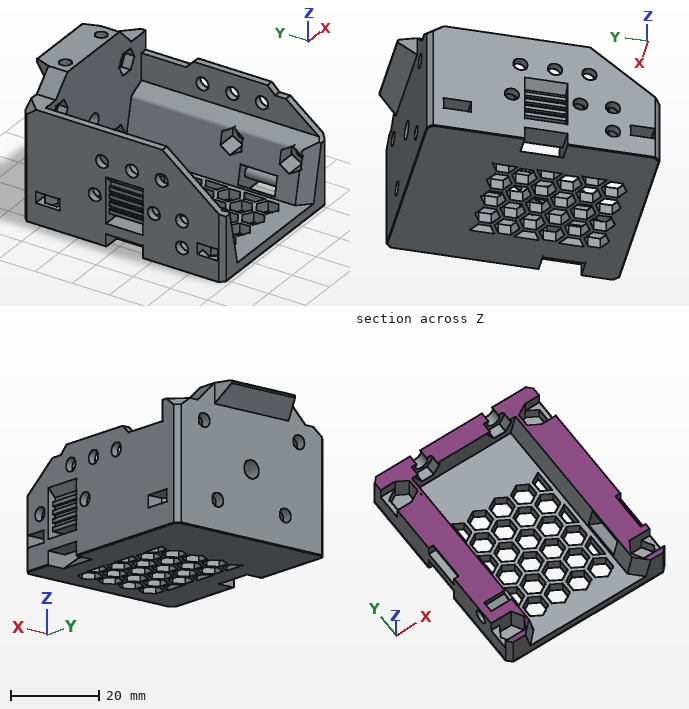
import cadquery as cq
import math

width = 44.0
half_width = width / 2
length = 54.1
total_length = 58.3
wall_top = 30.0
total_height = 35.0
bottom_chamfer = 0.205
corner_chamfer = 1.2

cavity_end = 48.95
floor_top = 2.75
floor_half = 13.0
ridge_half = 15.9
ridge_z = 15.75
shelf_half = 20.1
shelf_z = 17.9
ridge_radius = 1.0
entry_chamfer = 3.05

slope_start_y = 16.4
slope_front_z = 16.95
slope_rate = (wall_top - slope_front_z) / slope_start_y
low_rail_z = 25.0
high_rail_z = 27.05
rail_front_y = 13.0
rail_rear_y = 36.95

crest_half = 10.9
crest_foot_half = 15.9
tab_tip_half = 9.4
tab_tip_thickness = 0.75
tab_edge_break = 0.3
tab_hole_diameter = 3.0
tab_hole_x = 7.5
tab_hole_y = 51.7
tab_hole_depth = 5.8
corner_bevel_leg = 3.8
corner_bevel_drop = 2.0

screw_diameter = 3.3
nut_flats = 5.6
center_hole_diameter = 4.4
center_hole_z = 16.55
plate_screw_rise = 9.05
upper_screw_x = 14.0
lower_screw_x = 9.95
plate_nut_depth = 2.5
upper_hole_y = (16.55, 24.55, 32.6)
upper_hole_z = 22.0
wall_skin = 2.0
side_screw_z = 12.7
right_shift = -13.0
left_screw_y = (18.65, 34.55)
pair_y = 11.1
pair_z = (6.05, 13.05)
side_nut_z = 5.65
side_nut_height = 3.0
side_nut_seat_z = floor_top
front_nut_y = 4.2
rear_nut_y = 47.2
side_nut_x = 18.0

strap_y = 26.6
strap_width = 9.9
strap_recess_depth = 2.0
recess_top = 18.25
tooth = 1.0
tooth_pitch = 2 * tooth
tooth_count = 4
tooth_depth = 0.7
slot_bottom = 6.1
slot_top = 8.15
bar_bottom = 3.4
bar_inner_x = 16.05
strap_exit_z = 3.3
ramp_foot_x = 17.5

cell_flats = 5.0
cell_pitch = 6.0
wide_row_cells = 5
grille_half = 11.95
grille_rear_y = 33.9
grille_rows = 6


def mirrored(points):
    """Add the mirror image in X to a chain of points."""
    return points + [(-x, z) for x, z in reversed(points)]


def prism_y(points, y_start, y_end):
    """Extrude an XZ outline from y_start to y_end."""
    return cq.Workplane("XZ", origin=(0, y_start, 0)).polyline(points).close().extrude(y_start - y_end)


def prism_x(points, x_start, x_end):
    """Extrude a YZ outline from x_start to x_end."""
    return cq.Workplane("YZ", origin=(x_start, 0, 0)).polyline(points).close().extrude(x_end - x_start)


def hexagon(flats, turn=0.0):
    """Hexagon corners; the first corner lies on the first axis, turned by the angle."""
    radius = flats / math.sqrt(3)
    angles = [math.radians(turn + 60 * i) for i in range(6)]
    return [(radius * math.cos(a), radius * math.sin(a)) for a in angles]


def slope_x(z):
    """Distance of the sloped inner wall from the middle plane at height z."""
    return floor_half + (z - floor_top) * (ridge_half - floor_half) / (ridge_z - floor_top)


def make_shell():
    body = cq.Workplane("XY").box(width, length, wall_top, centered=(True, False, False))
    body = body.edges("|Z").chamfer(corner_chamfer).faces("<Z").chamfer(bottom_chamfer)
    outline = [
        (floor_half, floor_top), (ridge_half, ridge_z),
        (shelf_half, shelf_z), (shelf_half, total_height),
    ]
    cavity = prism_y(mirrored(outline), 0, cavity_end)
    for side in (-1, 1):
        ridge = cq.selectors.NearestToPointSelector((side * ridge_half, cavity_end / 2, ridge_z))
        cavity = cavity.edges(ridge).fillet(ridge_radius)
    return body.cut(cavity)


def make_entry():
    """Flared mouth that chamfers the front ends of the sloped walls."""
    top_half = slope_x(shelf_z)
    mouth = [(floor_half + entry_chamfer, floor_top), (top_half + entry_chamfer, shelf_z)]
    throat = [(floor_half, floor_top), (top_half, shelf_z)]
    return (
        cq.Workplane("XZ").polyline(mirrored(mouth)).close()
        .workplane(offset=-entry_chamfer).polyline(mirrored(throat)).close()
        .loft(ruled=True)
    )


def make_wall_top_cuts():
    above = total_height
    slope = [(0, slope_front_z), (slope_start_y, wall_top), (slope_start_y, above), (0, above)]
    rail_step = high_rail_z - low_rail_z
    rail = [
        ((low_rail_z - slope_front_z) / slope_rate, low_rail_z), (rail_front_y, low_rail_z),
        (rail_front_y + rail_step, high_rail_z), (rail_rear_y - rail_step, high_rail_z),
        (rail_rear_y, low_rail_z), (cavity_end, low_rail_z), (cavity_end, above),
        (0, above), (0, slope_front_z),
    ]
    cuts = prism_x(slope, -half_width, half_width)
    return cuts.union(prism_x(rail, 0, half_width))


def make_crest():
    crest = prism_y(
        mirrored([(crest_foot_half, wall_top), (crest_half, total_height)]), cavity_end, length)
    plan = mirrored([(crest_half, length), (tab_tip_half, total_length)])
    tab = cq.Workplane("XY", origin=(0, 0, wall_top)).polyline(plan).close().extrude(total_height - wall_top)
    side = [
        (length, total_height), (total_length - tab_edge_break, total_height),
        (total_length, total_height - tab_edge_break), (total_length, total_height - tab_tip_thickness),
        (length, total_height - tab_tip_thickness - total_length + length),
    ]
    return crest.union(tab.intersect(prism_x(side, -crest_half, crest_half)))


def make_corner_bevel(side):
    """Wedge that bevels one top rear corner, drawn along the corner's diagonal."""
    diagonal = math.sqrt(0.5)
    plane = cq.Plane(
        origin=(side * half_width, length, wall_top), xDir=(side, 1, 0), normal=(1, -side, 0))
    up = plane.yDir.z
    inner = -corner_bevel_leg * diagonal
    outer = -corner_chamfer * diagonal
    bottom = -up * corner_bevel_drop
    wedge = [(inner, 0), (outer, bottom), (0, bottom), (0, 0)]
    return cq.Workplane(plane).polyline(wedge).close().extrude(2 * corner_bevel_leg, both=True)


def make_plate_holes():
    cuts = cq.Workplane("XZ", origin=(0, cavity_end, 0)).center(0, center_hole_z)
    cuts = cuts.circle(center_hole_diameter / 2).extrude(-(length - cavity_end))
    for x, rise in ((upper_screw_x, plate_screw_rise), (lower_screw_x, -plate_screw_rise)):
        for side in (-1, 1):
            spot = cq.Workplane("XZ", origin=(side * x, cavity_end, center_hole_z + rise))
            cuts = cuts.union(spot.circle(screw_diameter / 2).extrude(-(length - cavity_end)))
            cuts = cuts.union(spot.polyline(hexagon(nut_flats)).close().extrude(-plate_nut_depth))
    tab_holes = cq.Workplane("XY", origin=(0, 0, total_height))
    tab_holes = tab_holes.pushPoints([(-tab_hole_x, tab_hole_y), (tab_hole_x, tab_hole_y)])
    return cuts.union(tab_holes.circle(tab_hole_diameter / 2).extrude(-tab_hole_depth))


def make_upper_holes():
    spots = [(y, upper_hole_z) for y in upper_hole_y]
    holes = cq.Workplane("YZ", origin=(-half_width, 0, 0)).pushPoints(spots)
    return holes.circle(screw_diameter / 2).extrude(2 * half_width)


def make_wall_screw(side, y, z, turn):
    """Screw hole through a side wall with a hexagonal nut trap open to the cavity."""
    hole = cq.Workplane("YZ", origin=(side * half_width, y, z)).circle(screw_diameter / 2)
    hole = hole.extrude(-side * (half_width - floor_half))
    trap_x = half_width - wall_skin
    trap = cq.Workplane("YZ", origin=(side * trap_x, y, z))
    trap = trap.polyline(hexagon(nut_flats, turn)).close().extrude(-side * (trap_x - floor_half))
    return hole.union(trap)


def make_side_nut(side, y, turn, half_opening):
    """Flat nut slot loaded from the outside of a side wall."""
    seat_height = side_nut_z + side_nut_height - side_nut_seat_z
    seat = cq.Workplane("XY", origin=(side * side_nut_x, y, side_nut_seat_z))
    seat = seat.polyline(hexagon(nut_flats, turn)).close().extrude(seat_height)
    lead = cq.Workplane("XY").box(
        half_width - side_nut_x, 2 * half_opening, side_nut_height, centered=(False, True, False))
    if side < 0:
        lead = lead.mirror("YZ")
    return seat.union(lead.translate((side * side_nut_x, y, side_nut_z)))


def make_strap_anchor(side, y):
    """Strap channel: toothed outer recess, slot above a round-ended bar, and bottom exit."""
    y_start = y - strap_width / 2

    def outline(points):
        return prism_y([(side * x, z) for x, z in points], y_start, y_start + strap_width)

    back = half_width - strap_recess_depth
    recess = outline([
        (half_width, slot_bottom), (half_width, recess_top),
        (back, recess_top - strap_recess_depth), (back, slot_bottom),
    ])
    for i in range(tooth_count):
        z = slot_top + tooth_pitch * i
        recess = recess.cut(outline([
            (back, z), (back, z + tooth), (back + tooth_depth, z + tooth), (back + tooth_depth, z)]))
    channel = outline([
        (half_width, 0), (half_width, slot_top), (floor_half, slot_top), (floor_half, strap_exit_z),
        (slope_x(strap_exit_z), strap_exit_z), (ramp_foot_x, 0)])
    bar_radius = (slot_bottom - bar_bottom) / 2
    bar_x = bar_inner_x + bar_radius
    bar_z = bar_bottom + bar_radius
    bar = outline([
        (half_width, bar_bottom), (half_width, slot_bottom), (bar_x, slot_bottom), (bar_x, bar_bottom)])
    nose = cq.Workplane("XZ", origin=(side * bar_x, y_start, bar_z)).circle(bar_radius).extrude(-strap_width)
    bar = bar.union(nose)
    return recess.union(channel).cut(bar)


def make_grille():
    """Honeycomb cells through the floor, trimmed to a straight-sided field."""
    row_pitch = cell_pitch * math.sqrt(3) / 2
    corners = hexagon(cell_flats, 30)
    cells = cq.Workplane("XY").box(2 * grille_half, total_length, floor_top, centered=(True, False, False))
    field = cells
    webs = cells
    for row in range(grille_rows):
        columns = wide_row_cells - row % 2
        y = grille_rear_y - row * row_pitch
        for column in range(columns):
            x = (column - (columns - 1) / 2) * cell_pitch
            cell = cq.Workplane("XY", origin=(x, y, 0)).polyline(corners).close().extrude(floor_top)
            webs = webs.cut(cell)
    return field.cut(webs)


flat_up = 0
corner_up = 30
result = make_shell().cut(make_entry()).cut(make_wall_top_cuts()).union(make_crest())
result = result.cut(make_plate_holes()).cut(make_upper_holes()).cut(make_grille())
for y in left_screw_y:
    result = result.cut(make_wall_screw(-1, y, side_screw_z, flat_up))
    result = result.cut(make_wall_screw(1, y + right_shift, side_screw_z, corner_up))
for z in pair_z:
    result = result.cut(make_wall_screw(-1, pair_y, z, corner_up))
result = result.cut(make_strap_anchor(-1, strap_y)).cut(make_strap_anchor(1, strap_y + right_shift))
for side in (-1, 1):
    result = result.cut(make_corner_bevel(side))
    result = result.cut(make_side_nut(side, front_nut_y, 0, nut_flats / 2))
    result = result.cut(make_side_nut(side, rear_nut_y, 30, nut_flats / math.sqrt(3)))